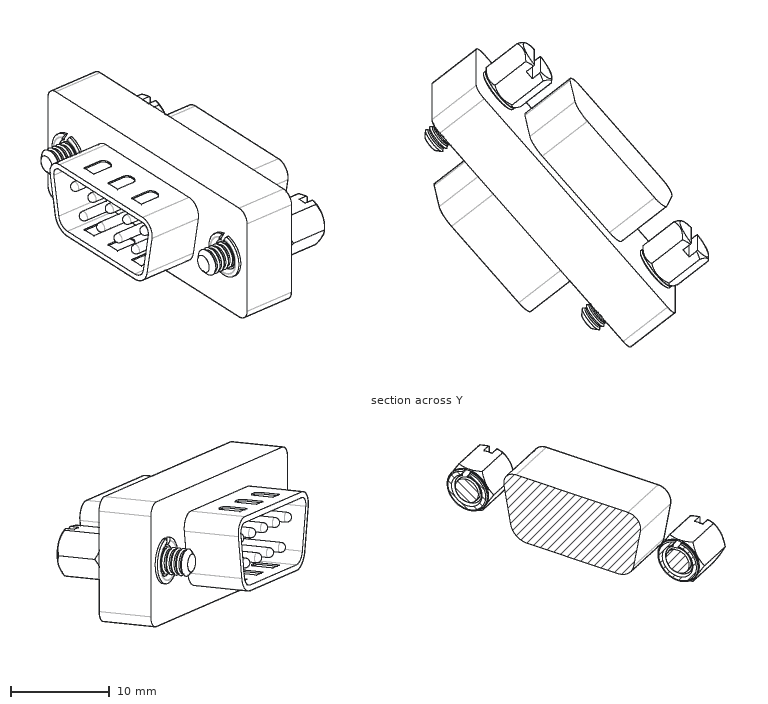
import cadquery as cq
import math

PLATE_WIDTH = 31.75
PLATE_HEIGHT = 12.95
PLATE_THICKNESS = 5.85
PLATE_CORNER_RADIUS = 1.27
PLATE_FRONT = -PLATE_THICKNESS / 2
PLATE_REAR = PLATE_THICKNESS / 2

SHELL_HEIGHT = 7.95
SHELL_TOP_FLAT = 13.25
SHELL_TOP_RADIUS = 1.52
SHELL_BOTTOM_RADIUS = 2.0
SHELL_SIDE_ANGLE = 10.0
SHELL_WALL = 0.6
FRONT_SHELL_LENGTH = 6.1
REAR_SHELL_LENGTH = 5.95
SHELL_FRONT = PLATE_FRONT - FRONT_SHELL_LENGTH

DIMPLE_COUNT = 3
DIMPLE_PITCH = 3.78
DIMPLE_WIDTH = 1.55
DIMPLE_LENGTH = 2.65
DIMPLE_CORNER_RADIUS = 0.65
DIMPLE_DEPTH = 0.15
DIMPLE_FROM_EDGE = 1.52

PIN_RADIUS = 0.5
PIN_PITCH = 2.75
PIN_ROW_HEIGHT = 1.43
PIN_TIP_BELOW_EDGE = 0.7
TOP_ROW_PINS = 5
BOTTOM_ROW_PINS = 4

SCREW_SPACING = 25.0
HEX_ACROSS_FLATS = 4.75
HEX_LENGTH = 4.9
HEX_END_RADIUS = 2.3
HEX_CHAMFER_LENGTH = 0.4
SLOT_WIDTH = 1.0
SLOT_DEPTH = 1.08
THREAD_CREST_RADIUS = 1.4
THREAD_ROOT_RADIUS = 1.2
THREAD_PITCH = 0.555
THREAD_FLANK_LENGTH = 0.2
THREAD_CRESTS = 5
THREAD_END_RADIUS = 0.92
THREAD_LENGTH = 2.95

WASHER_OUTER_RADIUS = 2.38
WASHER_BORE_RADIUS = 1.62
WASHER_THICKNESS = 0.38
WASHER_INNER_ROUND = 0.35
WASHER_OUTER_ROUND_WIDTH = 0.35
WASHER_OUTER_ROUND_DEPTH = 0.13
SLIT_WIDTH = 0.57
SLIT_LEAN_ANGLE = 32.0
SLIT_OFFSET = 0.1



def spread(count, pitch):
    """Evenly pitched positions centred on zero."""
    return [(i - (count - 1) / 2) * pitch for i in range(count)]


def along_y(plane_y):
    """Workplane across the Y axis at plane_y, with local X along X and local Y along Z, facing -Y."""
    return cq.Workplane("XZ", origin=(0, plane_y, 0))


def d_outline(start_y, wall_inset=0.0):
    """D-shaped outline, wide at the top, moved inward by wall_inset."""
    slope = math.radians(SHELL_SIDE_ANGLE)
    normal_x = math.cos(slope)
    normal_z = -math.sin(slope)
    half_height = SHELL_HEIGHT / 2
    top_x = SHELL_TOP_FLAT / 2
    top_z = half_height - SHELL_TOP_RADIUS
    bottom_z = SHELL_BOTTOM_RADIUS - half_height
    side_offset = top_x * normal_x + top_z * normal_z + SHELL_TOP_RADIUS
    bottom_x = (side_offset - SHELL_BOTTOM_RADIUS - bottom_z * normal_z) / normal_x
    top_radius = SHELL_TOP_RADIUS - wall_inset
    bottom_radius = SHELL_BOTTOM_RADIUS - wall_inset

    def on_top_arc(angle):
        return top_x + top_radius * math.cos(angle), top_z + top_radius * math.sin(angle)

    def on_bottom_arc(angle):
        return bottom_x + bottom_radius * math.cos(angle), bottom_z + bottom_radius * math.sin(angle)

    def mirrored(point):
        return -point[0], point[1]

    up = math.pi / 2
    top_start = on_top_arc(up)
    top_middle = on_top_arc((up - slope) / 2)
    top_end = on_top_arc(-slope)
    bottom_start = on_bottom_arc(-slope)
    bottom_middle = on_bottom_arc((-slope - up) / 2)
    bottom_end = on_bottom_arc(-up)
    return (
        along_y(start_y)
        .moveTo(*mirrored(top_start))
        .lineTo(*top_start)
        .threePointArc(top_middle, top_end)
        .lineTo(*bottom_start)
        .threePointArc(bottom_middle, bottom_end)
        .lineTo(*mirrored(bottom_end))
        .threePointArc(mirrored(bottom_middle), mirrored(bottom_start))
        .lineTo(*mirrored(top_end))
        .threePointArc(mirrored(top_middle), mirrored(top_start))
        .close()
    )


def make_plate():
    """Rounded plate with one clearance-free hole for each jackscrew."""
    plate = (
        cq.Workplane("XY")
        .box(PLATE_WIDTH, PLATE_THICKNESS, PLATE_HEIGHT)
        .edges("|Y")
        .fillet(PLATE_CORNER_RADIUS)
    )
    holes = (
        along_y(PLATE_REAR)
        .pushPoints([(x, 0) for x in spread(2, SCREW_SPACING)])
        .circle(THREAD_CREST_RADIUS)
        .extrude(PLATE_THICKNESS)
    )
    return plate.cut(holes)


def make_dimples(face_z):
    """Row of pockets cut down from face_z, each with a rounded end towards the plate."""
    start_y = SHELL_FRONT + DIMPLE_FROM_EDGE
    return (
        cq.Workplane("XY", origin=(0, start_y + DIMPLE_LENGTH / 2, face_z))
        .pushPoints([(x, 0) for x in spread(DIMPLE_COUNT, DIMPLE_PITCH)])
        .rect(DIMPLE_WIDTH, DIMPLE_LENGTH)
        .extrude(-DIMPLE_DEPTH)
        .edges("|Z and >Y")
        .fillet(DIMPLE_CORNER_RADIUS)
    )


def make_pin(x, z):
    """Contact pin with a ball tip, standing on the plate's front face."""
    length = FRONT_SHELL_LENGTH - PIN_TIP_BELOW_EDGE - PIN_RADIUS
    pin = along_y(PLATE_FRONT).center(x, z).circle(PIN_RADIUS).extrude(length)
    tip = cq.Workplane("XY").sphere(PIN_RADIUS).translate((x, PLATE_FRONT - length, z))
    return pin.union(tip)


def make_housing():
    """Plate with a solid rear shell, and a hollow front shell around the pins."""
    rear_shell = d_outline(PLATE_REAR + REAR_SHELL_LENGTH).extrude(REAR_SHELL_LENGTH)
    front_shell = d_outline(PLATE_FRONT).extrude(FRONT_SHELL_LENGTH)
    cavity = d_outline(PLATE_FRONT, SHELL_WALL).extrude(FRONT_SHELL_LENGTH)
    front_shell = front_shell.cut(cavity)
    front_shell = front_shell.cut(make_dimples(SHELL_HEIGHT / 2))
    front_shell = front_shell.cut(make_dimples(SHELL_WALL - SHELL_HEIGHT / 2))
    housing = make_plate().union(rear_shell).union(front_shell)
    for x in spread(TOP_ROW_PINS, PIN_PITCH):
        housing = housing.union(make_pin(x, PIN_ROW_HEIGHT))
    for x in spread(BOTTOM_ROW_PINS, PIN_PITCH):
        housing = housing.union(make_pin(x, -PIN_ROW_HEIGHT))
    return housing


def make_split_washer(seat_y):
    """Split washer on the Y axis, flat at seat_y and rounded on its -Y side, slit at the top."""
    front_y = seat_y - WASHER_THICKNESS
    ring = (
        cq.Workplane("XY")
        .moveTo(WASHER_BORE_RADIUS, seat_y)
        .lineTo(WASHER_BORE_RADIUS, front_y + WASHER_INNER_ROUND)
        .tangentArcPoint((WASHER_BORE_RADIUS + WASHER_INNER_ROUND, front_y), relative=False)
        .lineTo(WASHER_OUTER_RADIUS - WASHER_OUTER_ROUND_WIDTH, front_y)
        .tangentArcPoint((WASHER_OUTER_RADIUS, front_y + WASHER_OUTER_ROUND_DEPTH), relative=False)
        .lineTo(WASHER_OUTER_RADIUS, seat_y)
        .close()
        .revolve(360, (0, 0, 0), (0, 1, 0))
    )
    slit = (
        cq.Workplane("XY")
        .box(SLIT_WIDTH, WASHER_THICKNESS, WASHER_OUTER_RADIUS)
        .rotate((0, 0, 0), (0, 1, 0), SLIT_LEAN_ANGLE)
        .translate((SLIT_OFFSET, seat_y - WASHER_THICKNESS / 2, WASHER_OUTER_RADIUS))
    )
    return ring.cut(slit)


def make_hex_head(seat_y):
    """Hexagonal head with both ends chamfered and a screwdriver slot across its rear end."""
    rear_y = seat_y + HEX_LENGTH
    corner_radius = HEX_ACROSS_FLATS / math.sqrt(3)
    head = along_y(rear_y).polygon(6, 2 * corner_radius).extrude(HEX_LENGTH)
    chamfer_envelope = (
        cq.Workplane("XY")
        .moveTo(0, seat_y)
        .lineTo(HEX_END_RADIUS, seat_y)
        .lineTo(corner_radius, seat_y + HEX_CHAMFER_LENGTH)
        .lineTo(corner_radius, rear_y - HEX_CHAMFER_LENGTH)
        .lineTo(HEX_END_RADIUS, rear_y)
        .lineTo(0, rear_y)
        .close()
        .revolve(360, (0, 0, 0), (0, 1, 0))
    )
    slot = cq.Workplane("XY").box(SLOT_WIDTH, 2 * SLOT_DEPTH, 2 * corner_radius).translate((0, rear_y, 0))
    return head.intersect(chamfer_envelope).cut(slot)


def make_shank(head_y):
    """Round shank through the plate, ending in a ridged thread with a chamfered tip."""
    tip_y = PLATE_FRONT - THREAD_LENGTH
    last_crest_y = tip_y + THREAD_CREST_RADIUS - THREAD_END_RADIUS
    profile = (
        cq.Workplane("XY")
        .moveTo(0, tip_y)
        .lineTo(THREAD_END_RADIUS, tip_y)
    )
    for i in range(THREAD_CRESTS):
        crest_y = last_crest_y + i * THREAD_PITCH
        if i > 0:
            profile = profile.lineTo(THREAD_ROOT_RADIUS, crest_y - THREAD_FLANK_LENGTH)
        profile = profile.lineTo(THREAD_CREST_RADIUS, crest_y)
        profile = profile.lineTo(THREAD_ROOT_RADIUS, crest_y + THREAD_FLANK_LENGTH)
    return (
        profile
        .lineTo(THREAD_ROOT_RADIUS, PLATE_FRONT)
        .lineTo(THREAD_CREST_RADIUS, PLATE_FRONT)
        .lineTo(THREAD_CREST_RADIUS, head_y)
        .lineTo(0, head_y)
        .close()
        .revolve(360, (0, 0, 0), (0, 1, 0))
    )


def make_jackscrew(x):
    """Jackscrew at x: hex head with a split collar under it, and a threaded shank."""
    head_y = PLATE_REAR + WASHER_THICKNESS
    screw = make_shank(head_y).union(make_hex_head(head_y)).union(make_split_washer(head_y))
    return screw.translate((x, 0, 0))


def make_front_washer(x):
    """Loose split washer against the front of the plate at x."""
    return make_split_washer(PLATE_FRONT).translate((x, 0, 0))


housing = make_housing()
jackscrews = [make_jackscrew(x) for x in spread(2, SCREW_SPACING)]
front_washers = [make_front_washer(x) for x in spread(2, SCREW_SPACING)]

result = cq.Compound.makeCompound(
    [
        housing.val(),
        *[screw.val() for screw in jackscrews],
        *[washer.val() for washer in front_washers],
    ]
)